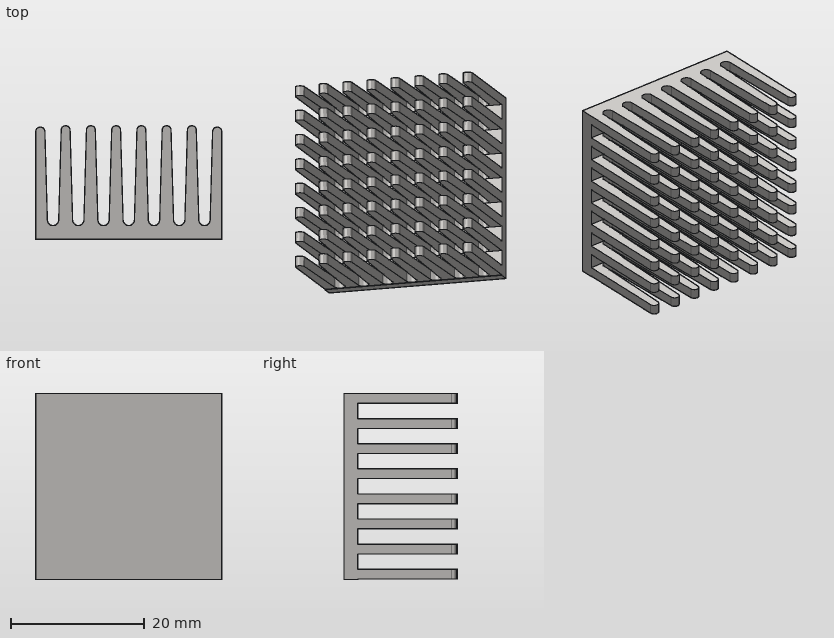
import cadquery as cq
import math

side = 27.9
height = 17.05
outer_height = 16.85
base_thickness = 2.1
pin_count = 8

column_pitch = 3.78
groove_radius = 0.83
taper = math.radians(1.6)

row_pitch = 3.76
row_thickness = 1.5

sin_t = math.sin(taper)
cos_t = math.cos(taper)
half_side = side / 2
groove_center_y = base_thickness + groove_radius
groove_count = pin_count - 1
outer_groove_x = (groove_count - 1) / 2 * column_pitch
edge_distance = half_side - outer_groove_x

tip_radius = (
    column_pitch / 2 * cos_t - groove_radius - (height - groove_center_y) * sin_t
) / (1 - sin_t)
outer_tip_radius = (
    edge_distance * cos_t - groove_radius - (outer_height - groove_center_y) * sin_t
) / (1 + cos_t - sin_t)


def add_groove(outline, x):
    """Go down the left groove wall, round its bottom, to the start of the right wall."""
    reach = groove_radius * cos_t
    wall_end_y = groove_center_y - groove_radius * sin_t
    return (
        outline.lineTo(x - reach, wall_end_y)
        .threePointArc((x, base_thickness), (x + reach, wall_end_y))
    )


def add_inner_tip(outline, x):
    """Go up the left wall of an inner pin and over its rounded tip."""
    reach = tip_radius * cos_t
    wall_end_y = height - tip_radius + tip_radius * sin_t
    return (
        outline.lineTo(x - reach, wall_end_y)
        .threePointArc((x, height), (x + reach, wall_end_y))
    )


def make_finned_block():
    """Extrude the comb-shaped XY outline over the full Z size."""
    tip_x = half_side - outer_tip_radius
    tip_y = outer_height - outer_tip_radius
    inner_wall_x = tip_x - outer_tip_radius * cos_t
    inner_wall_y = tip_y + outer_tip_radius * sin_t

    outline = (
        cq.Workplane("XY")
        .workplane(offset=-half_side)
        .moveTo(-half_side, 0)
        .lineTo(-half_side, tip_y)
        .threePointArc((-tip_x, outer_height), (-inner_wall_x, inner_wall_y))
    )
    for i in range(groove_count):
        groove_x = i * column_pitch - outer_groove_x
        outline = add_groove(outline, groove_x)
        if i < groove_count - 1:
            outline = add_inner_tip(outline, groove_x + column_pitch / 2)
    outline = (
        outline.lineTo(inner_wall_x, inner_wall_y)
        .threePointArc((tip_x, outer_height), (half_side, tip_y))
        .lineTo(half_side, 0)
        .close()
    )
    return outline.extrude(side)


def cut_rows(block):
    """Saw the fins into pins, working down from the row flush with the base's +Z face.

    The last cut only trims the sliver left below the lowest row.
    """
    cut_depth = height - base_thickness
    for i in range(pin_count):
        row_bottom = half_side - row_thickness - i * row_pitch
        cut_bottom = max(row_bottom + row_thickness - row_pitch, -half_side)
        cut_width = row_bottom - cut_bottom
        saw_cut = (
            cq.Workplane("XY")
            .box(side, cut_depth, cut_width, centered=(True, False, False))
            .translate((0, base_thickness, cut_bottom))
        )
        block = block.cut(saw_cut)
    return block


result = cut_rows(make_finned_block())